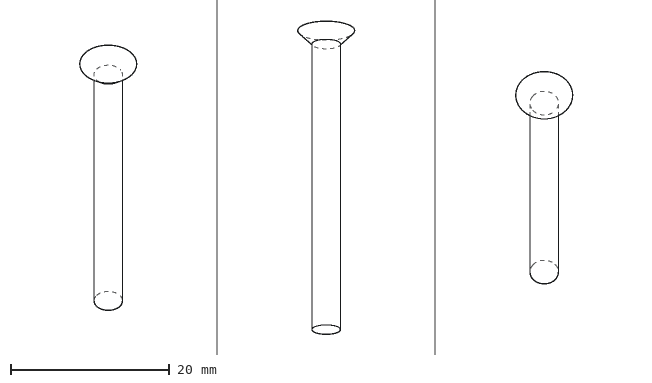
import cadquery as cq

total_length = 40.0
head_diameter = 7.2
shank_diameter = 3.6

head_radius = head_diameter / 2
shank_radius = shank_diameter / 2

head_height = head_radius - shank_radius
head_base = total_length - head_height

half_section = (
    cq.Workplane("XZ")
    .moveTo(0, 0)
    .lineTo(shank_radius, 0)
    .lineTo(shank_radius, head_base)
    .lineTo(head_radius, total_length)
    .lineTo(0, total_length)
    .close()
)

result = half_section.revolve(360, (0, 0, 0), (0, 1, 0))